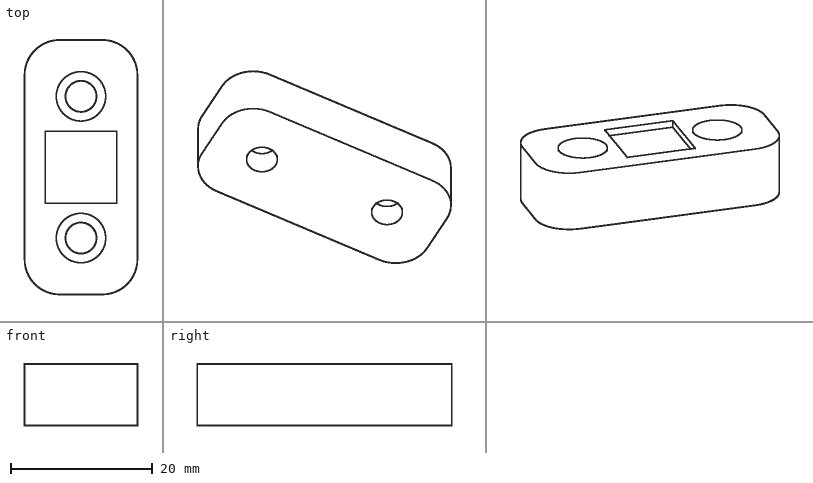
import cadquery as cq

length = 36.0
width = 16.0
height = 8.7
corner_radius = 5.0

hole_spacing = 20.0
hole_diameter = 4.35
counterbore_diameter = 7.0
counterbore_depth = 4.5

pocket_side = 10.1
pocket_depth = 1.0


def make_body():
    """Block with rounded vertical corners, standing on Z = 0."""
    block = cq.Workplane("XY").box(width, length, height, centered=(True, True, False))
    return block.edges("|Z").fillet(corner_radius)


def cut_screw_holes(body):
    """Through holes, counterbored from the top face."""
    centers = [(0, -hole_spacing / 2), (0, hole_spacing / 2)]
    top = body.faces(">Z").workplane(origin=(0, 0, height))
    return top.pushPoints(centers).cboreHole(hole_diameter, counterbore_diameter, counterbore_depth)


def cut_pocket(body):
    """Shallow square recess between the screw holes."""
    top = body.faces(">Z").workplane(origin=(0, 0, height))
    return top.rect(pocket_side, pocket_side).cutBlind(-pocket_depth)


result = cut_pocket(cut_screw_holes(make_body()))